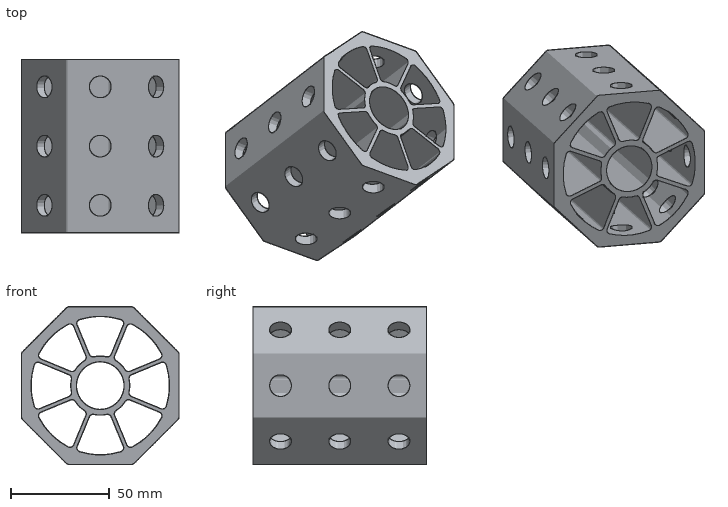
import cadquery as cq
import math

side_count = 8
across_flats = 80.0
length = 88.0
corner_radius = 2.0

bore_diameter = 24.0
hub_diameter = 30.0
rim_inner_diameter = 70.0
spoke_width = 2.0
pocket_fillet = 2.0

hole_diameter = 11.0
hole_pitch = 30.0
holes_per_row = 3

sector_angle = 360.0 / side_count
half_sector = math.radians(sector_angle / 2)
across_corners = across_flats / math.cos(half_sector)


def about_axis(shape, index):
    """Turn a shape about the Y axis to the flat with the given index."""
    return shape.rotate((0, 0, 0), (0, 1, 0), index * sector_angle)


def make_body():
    """Octagonal prism with flats facing X and Z, rounded along its corners."""
    return (
        cq.Workplane("XZ")
        .transformed(rotate=(0, 0, sector_angle / 2))
        .polygon(side_count, across_corners)
        .extrude(length / 2, both=True)
        .edges("|Y")
        .fillet(corner_radius)
    )


def make_bore():
    """Cylinder of the central bore."""
    return cq.Workplane("XZ").circle(bore_diameter / 2).extrude(length / 2, both=True)


def make_pocket():
    """Through pocket on the +Z side, between two neighbouring spokes."""
    def spoke_side_point(radius):
        angle = half_sector - math.asin(spoke_width / 2 / radius)
        return radius * math.sin(angle), radius * math.cos(angle)

    hub_radius = hub_diameter / 2
    rim_radius = rim_inner_diameter / 2
    inner_x, inner_z = spoke_side_point(hub_radius)
    outer_x, outer_z = spoke_side_point(rim_radius)
    return (
        cq.Workplane("XZ")
        .moveTo(-inner_x, inner_z)
        .lineTo(-outer_x, outer_z)
        .threePointArc((0, rim_radius), (outer_x, outer_z))
        .lineTo(inner_x, inner_z)
        .threePointArc((0, hub_radius), (-inner_x, inner_z))
        .close()
        .extrude(length / 2, both=True)
        .edges("|Y")
        .fillet(pocket_fillet)
    )


def make_hole_row():
    """Row of hole cylinders on the +Z side, from the open pocket out to the flat."""
    start_radius = (hub_diameter + rim_inner_diameter) / 4
    return (
        cq.Workplane("XY", origin=(0, 0, start_radius))
        .rarray(hole_pitch, hole_pitch, 1, holes_per_row)
        .circle(hole_diameter / 2)
        .extrude(across_flats / 2 - start_radius)
    )


result = make_body().cut(make_bore())
pocket = make_pocket()
hole_row = make_hole_row()
for flat in range(side_count):
    result = result.cut(about_axis(pocket, flat))
    result = result.cut(about_axis(hole_row, flat))